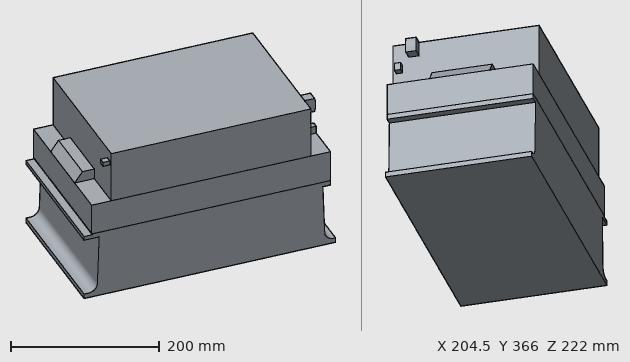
import cadquery as cq
import math

WIDTH = 204.5
LENGTH = 366.0
MID_Y = 2.0
FOOT_HEIGHT = 7.5
FOOT_FILLET = 12.8
LIP_BOTTOM = 93.5
LIP_TOP = 99.2
BASE_TOP = 100.5
WALL_TOP_HALF = 163.0
WALL_FOOT_HALF = 165.5
SEAT_INSET = 1.5

COLLAR_LENGTH = 347.7
COLLAR_TOP = 146.8
BOX_LENGTH = 290.5
HEIGHT = 222.0

WEDGE_WIDTH = 84.0
WEDGE_X = 0.55
WEDGE_HEIGHT = 15.5
WEDGE_SLOPE_RUN = 11.5

PEG_X = 93.0
PEG_WIDTH = 8.8
PEG_LENGTH = 10.0
FRONT_PEG_BOTTOM = 201.3
FRONT_PEG_HEIGHT = 6.2
REAR_PEG_BOTTOM = 178.2
REAR_PEG_HEIGHT = 11.0
LATCH_X = 73.0
LATCH_WIDTH = 14.5
LATCH_BOTTOM = 201.3
LATCH_LENGTH = 14.5
LATCH_BULGE = 1.5
LATCH_SLOPE_HEIGHT = 6.0

COLLAR_FRONT = MID_Y - COLLAR_LENGTH / 2
COLLAR_REAR = MID_Y + COLLAR_LENGTH / 2
BOX_FRONT = MID_Y - BOX_LENGTH / 2
BOX_REAR = MID_Y + BOX_LENGTH / 2


def side_profile(center_x, width):
    """YZ sketch plane placed so that an extrusion by width is centred on center_x."""
    return cq.Workplane("YZ", origin=(center_x - width / 2, 0, 0))


def block(center_x, width, y_start, y_end, z_bottom, z_top):
    """Rectangular block given by its X centre and its Y and Z limits."""
    return (
        cq.Workplane("XY")
        .box(width, y_end - y_start, z_top - z_bottom, centered=(True, False, False))
        .translate((center_x, y_start, z_bottom))
    )


def make_base():
    fillet_top = FOOT_HEIGHT + FOOT_FILLET
    front_foot_y = MID_Y - WALL_FOOT_HALF
    rear_foot_y = MID_Y + WALL_FOOT_HALF
    arc_offset = FOOT_FILLET * (1 - math.sqrt(0.5))
    return (
        side_profile(0, WIDTH)
        .moveTo(-LENGTH / 2, 0)
        .lineTo(LENGTH / 2, 0)
        .lineTo(LENGTH / 2, FOOT_HEIGHT)
        .lineTo(rear_foot_y + FOOT_FILLET, FOOT_HEIGHT)
        .threePointArc((rear_foot_y + arc_offset, FOOT_HEIGHT + arc_offset), (rear_foot_y, fillet_top))
        .lineTo(MID_Y + WALL_TOP_HALF, LIP_BOTTOM)
        .lineTo(COLLAR_REAR, LIP_BOTTOM)
        .lineTo(COLLAR_REAR, BASE_TOP)
        .lineTo(COLLAR_FRONT + SEAT_INSET, BASE_TOP)
        .lineTo(COLLAR_FRONT + SEAT_INSET, LIP_TOP)
        .lineTo(-LENGTH / 2, LIP_TOP)
        .lineTo(-LENGTH / 2, LIP_BOTTOM)
        .lineTo(MID_Y - WALL_TOP_HALF, LIP_BOTTOM)
        .lineTo(front_foot_y, fillet_top)
        .threePointArc(
            (front_foot_y - arc_offset, FOOT_HEIGHT + arc_offset),
            (front_foot_y - FOOT_FILLET, FOOT_HEIGHT),
        )
        .lineTo(-LENGTH / 2, FOOT_HEIGHT)
        .close()
        .extrude(WIDTH)
    )


def make_wedge(direction):
    """Sloped block on the collar; direction is -1 at the front and +1 at the rear."""
    inner_y = MID_Y + direction * BOX_LENGTH / 2
    outer_y = MID_Y + direction * COLLAR_LENGTH / 2
    wedge_top = COLLAR_TOP + WEDGE_HEIGHT
    return (
        side_profile(WEDGE_X, WEDGE_WIDTH)
        .moveTo(inner_y, COLLAR_TOP)
        .lineTo(outer_y, COLLAR_TOP)
        .lineTo(outer_y - direction * WEDGE_SLOPE_RUN, wedge_top)
        .lineTo(inner_y, wedge_top)
        .close()
        .extrude(WEDGE_WIDTH)
    )


def make_latch():
    """Rear block flush with the box top, its end face bulging at mid height."""
    edge_y = BOX_REAR + LATCH_LENGTH
    return (
        side_profile(LATCH_X, LATCH_WIDTH)
        .moveTo(BOX_REAR, LATCH_BOTTOM)
        .lineTo(edge_y, LATCH_BOTTOM)
        .lineTo(edge_y + LATCH_BULGE, LATCH_BOTTOM + LATCH_SLOPE_HEIGHT)
        .lineTo(edge_y + LATCH_BULGE, HEIGHT - LATCH_SLOPE_HEIGHT)
        .lineTo(edge_y, HEIGHT)
        .lineTo(BOX_REAR, HEIGHT)
        .close()
        .extrude(LATCH_WIDTH)
    )


base = make_base()
collar = block(0, WIDTH, COLLAR_FRONT, COLLAR_REAR, BASE_TOP, COLLAR_TOP)
upper_box = block(0, WIDTH, BOX_FRONT, BOX_REAR, COLLAR_TOP, HEIGHT)
wedges = [make_wedge(direction).val() for direction in (-1, 1)]
front_peg = block(
    PEG_X, PEG_WIDTH, BOX_FRONT - PEG_LENGTH, BOX_FRONT,
    FRONT_PEG_BOTTOM, FRONT_PEG_BOTTOM + FRONT_PEG_HEIGHT,
)
rear_peg = block(
    PEG_X, PEG_WIDTH, BOX_REAR, BOX_REAR + PEG_LENGTH,
    REAR_PEG_BOTTOM, REAR_PEG_BOTTOM + REAR_PEG_HEIGHT,
)
latch = make_latch()

result = cq.Compound.makeCompound([
    base.val(),
    collar.val(),
    upper_box.val(),
    *wedges,
    front_peg.val(),
    rear_peg.val(),
    latch.val(),
])